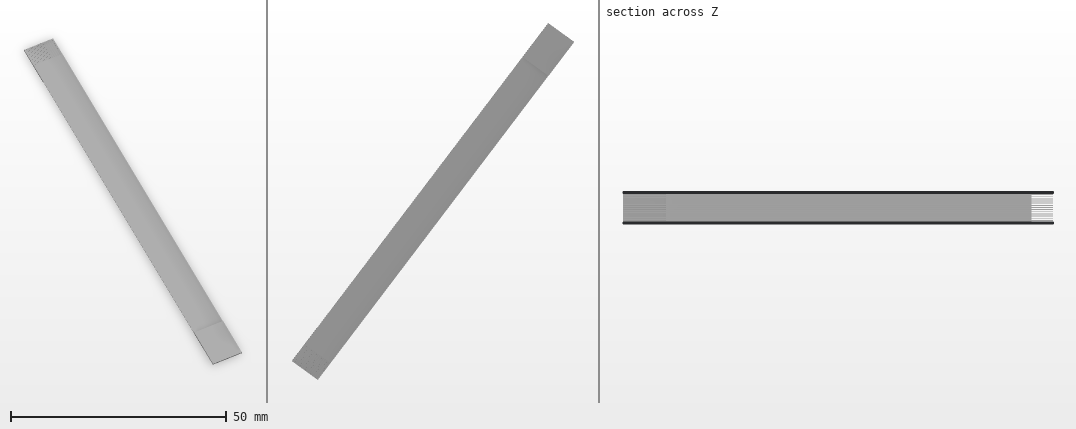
import cadquery as cq

LENGTH = 100.0
WIDTH = 7.5
HEIGHT = 0.59

RIBBON_THICKNESS = 0.14
STIFFENER_LENGTH = 10.0
STIFFENER_THICKNESS = (HEIGHT - RIBBON_THICKNESS) / 2
CONTACT_LENGTH = 5.0

CHANNEL_COUNT = 14
CHANNEL_PITCH = 0.5
CHANNEL_WIDTH = 0.3
CHANNEL_HEIGHT = 0.05
FILM_THICKNESS = (RIBBON_THICKNESS - CHANNEL_HEIGHT) / 2


def make_ribbon():
    """Ribbon over the full length, centred on the origin."""
    return cq.Workplane("XY").box(LENGTH, WIDTH, RIBBON_THICKNESS)


def make_channels():
    """Row of conductor channels at mid-thickness, open at both ends of the ribbon."""
    return (
        cq.Workplane("XY", origin=(0, 0, -CHANNEL_HEIGHT / 2))
        .rarray(1, CHANNEL_PITCH, 1, CHANNEL_COUNT)
        .rect(LENGTH, CHANNEL_WIDTH)
        .extrude(CHANNEL_HEIGHT)
    )


def make_end_plate(length, thickness, bottom):
    """Full-width plate at the -X end, rising from the given bottom level."""
    return (
        cq.Workplane("XY", origin=(-LENGTH / 2, 0, bottom))
        .box(length, WIDTH, thickness, centered=(False, True, False))
    )


def turn_to_other_end(feature):
    """Half turn about Y, carrying a feature from the -X end to the +X end."""
    return feature.rotate((0, 0, 0), (0, 1, 0), 180)


stiffener = make_end_plate(STIFFENER_LENGTH, STIFFENER_THICKNESS, -HEIGHT / 2)
removed_film = make_end_plate(CONTACT_LENGTH, FILM_THICKNESS, CHANNEL_HEIGHT / 2)

result = (
    make_ribbon()
    .union(stiffener)
    .union(turn_to_other_end(stiffener))
    .cut(make_channels())
    .cut(removed_film)
    .cut(turn_to_other_end(removed_film))
)